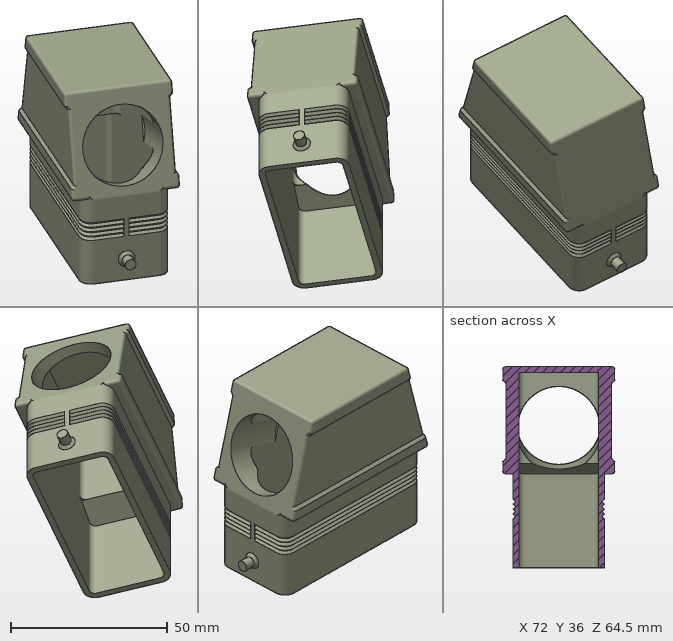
import cadquery as cq
import math

base_length = 62.85
base_width = 29.4
base_corner_radius = 3.95
base_top_blend = 2.0
wall = 2.0

hood_bottom = 30.0
hood_top = 64.5
hood_width = 36.0
hood_bottom_length = base_length
end_slope = math.radians(15)
hood_edge_radius = 1.0
recess_depth = 1.0
recess_bottom = 34.05
recess_top = 60.05

groove_count = 4
groove_band_bottom = 15.6
groove_pitch = 1.6
groove_angle = 45
groove_gap = 1.7

pin_span = 72.0
pin_diameter = 3.6
pin_height = 7.55
pin_collar_length = 1.0

entry_diameter = 26.8
entry_height = 46.1

hood_cavity_length = 40.3
funnel_slope = math.radians(20)
funnel_bottom = 30.1

end_run = (hood_top - hood_bottom) * math.tan(end_slope)
hood_top_length = hood_bottom_length - 2 * end_run
cavity_width = base_width - 2 * wall
cavity_length = base_length - 2 * wall
cavity_corner_radius = base_corner_radius - wall


def rounded_block(length, width, radius, bottom, top):
    block = cq.Workplane("XY", origin=(0, 0, bottom)).rect(length, width).extrude(top - bottom)
    return block.edges("|Z").fillet(radius)


def make_base():
    """Rounded block whose ends blend into the slope of the hood ends."""
    shoulder = hood_bottom + wall
    block = rounded_block(base_length, base_width, base_corner_radius, 0, shoulder)
    shoulder_length = base_length - 2 * (shoulder - hood_bottom) * math.tan(end_slope)
    sloped_ends = (
        cq.Workplane("XZ")
        .polyline([
            (-base_length / 2, 0),
            (base_length / 2, 0),
            (base_length / 2, hood_bottom),
            (shoulder_length / 2, shoulder),
            (-shoulder_length / 2, shoulder),
            (-base_length / 2, hood_bottom),
        ])
        .close()
        .extrude(base_width, both=True)
        .edges("|Y")
        .edges(">>Z[-2]")
        .fillet(base_top_blend)
    )
    return block.intersect(sloped_ends)


def make_hood():
    """Trapezoid with a chamfer-edged recess along each side, all outer edges rounded."""
    side_outline = (
        cq.Workplane("XZ")
        .polyline([
            (-hood_bottom_length / 2, hood_bottom),
            (hood_bottom_length / 2, hood_bottom),
            (hood_top_length / 2, hood_top),
            (-hood_top_length / 2, hood_top),
        ])
        .close()
        .extrude(hood_width / 2, both=True)
    )
    outer = hood_width / 2
    inner = outer - recess_depth
    half_profile = [
        (outer, hood_bottom),
        (outer, recess_bottom),
        (inner, recess_bottom + recess_depth),
        (inner, recess_top - recess_depth),
        (outer, recess_top),
        (outer, hood_top),
    ]
    other_half = [(-y, z) for y, z in reversed(half_profile)]
    end_profile = (
        cq.Workplane("YZ")
        .polyline(half_profile + other_half)
        .close()
        .extrude(hood_bottom_length, both=True)
    )
    hood = side_outline.intersect(end_profile)
    end_edges = hood.faces("<X or >X").edges().vals()
    long_edges = hood.edges("|X").edges("<Z or >Z").vals()
    return hood.newObject(end_edges + long_edges).fillet(hood_edge_radius)


def make_grooves():
    """Ring cutters whose inner faces taper in and out again to form V-grooves."""
    half_pitch = groove_pitch / 2
    band_height = groove_count * groove_pitch
    band = (
        cq.Workplane("XY", origin=(0, 0, groove_band_bottom))
        .rect(2 * base_length, 2 * base_width)
        .extrude(band_height)
    )
    outline = cq.Sketch().rect(base_length, base_width).vertices().fillet(base_corner_radius)
    for index in range(groove_count):
        bottom = groove_band_bottom + index * groove_pitch
        lower = (
            cq.Workplane("XY", origin=(0, 0, bottom))
            .placeSketch(outline)
            .extrude(half_pitch, taper=groove_angle)
        )
        upper = lower.mirror("XY", (0, 0, bottom + half_pitch))
        band = band.cut(lower).cut(upper)
    gap = (
        cq.Workplane("XY", origin=(0, 0, groove_band_bottom))
        .rect(2 * base_length, groove_gap)
        .extrude(band_height)
    )
    return band.cut(gap)


def make_pins():
    """Revolved pin on each end, with a conical collar at the wall."""
    pin_radius = pin_diameter / 2
    start = base_length / 2 - wall / 2
    collar_end = base_length / 2 + pin_collar_length
    pin = (
        cq.Workplane("XY", origin=(0, 0, pin_height))
        .polyline([
            (start, 0),
            (start, pin_radius + pin_collar_length),
            (base_length / 2, pin_radius + pin_collar_length),
            (collar_end, pin_radius),
            (pin_span / 2, pin_radius),
            (pin_span / 2, 0),
        ])
        .close()
        .revolve(360, (0, 0, 0), (1, 0, 0))
    )
    return pin.union(pin.mirror("YZ"))


def make_cavity():
    """Base pocket whose ceiling rises from both ends to the shorter hood pocket."""
    funnel_top = funnel_bottom + (cavity_length - hood_cavity_length) / 2 * math.tan(funnel_slope)
    base_pocket = rounded_block(cavity_length, cavity_width, cavity_corner_radius, 0, funnel_top)
    ceiling = (
        cq.Workplane("XZ")
        .polyline([
            (-cavity_length / 2, 0),
            (cavity_length / 2, 0),
            (cavity_length / 2, funnel_bottom),
            (hood_cavity_length / 2, funnel_top),
            (-hood_cavity_length / 2, funnel_top),
            (-cavity_length / 2, funnel_bottom),
        ])
        .close()
        .extrude(base_width, both=True)
    )
    hood_pocket = rounded_block(
        hood_cavity_length, cavity_width, cavity_corner_radius, 0, hood_top - wall
    )
    return base_pocket.intersect(ceiling).union(hood_pocket)


def make_cable_entry():
    """Bore from the sloped +X end into the hood cavity."""
    entry_x = hood_bottom_length / 2 - (entry_height - hood_bottom) * math.tan(end_slope)
    inward = cq.Vector(-math.cos(end_slope), 0, -math.sin(end_slope))
    depth = (entry_x - hood_cavity_length / 2 + entry_diameter / 2) / math.cos(end_slope)
    return cq.Workplane(
        cq.Solid.makeCylinder(entry_diameter / 2, depth, cq.Vector(entry_x, 0, entry_height), inward)
    )


result = (
    make_base()
    .cut(make_grooves())
    .union(make_hood())
    .union(make_pins())
    .cut(make_cavity())
    .cut(make_cable_entry())
)